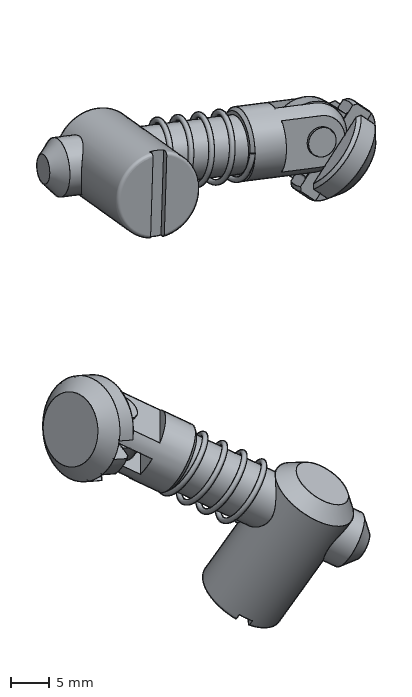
import cadquery as cq


shank_radius = 3.95
tip_y = -9.65
tip_radius = 2.0
tip_cone_length = 2.0
collar_start_y = 18.3
collar_end_y = 23.35
collar_radius = 4.95
collar_chamfer = 0.48
hinge_y = 29.05
clevis_width = 7.0
clevis_slot_width = 3.0

wire_diameter = 0.75
coil_outer_radius = 4.95
coil_offset_x = 0.2
coil_start_y = 6.5
coil_pitch = 3.0
coil_turns = 4

barrel_radius = 6.0
barrel_tilt = 3.9
barrel_back = 6.0
barrel_front = 15.0
barrel_end_radius = 4.0
barrel_fillet = 0.48
slot_width = 2.0
slot_depth = 1.0

foot_tilt = 53.3
disc_radius = 7.0
disc_base_radius = 4.95
disc_cone_height = 2.05
disc_rim_height = 3.05
disc_chamfer = 0.48
disc_below_hinge = 5.3
groove_outer_width = 7.9
tongue_width = 2.65
ridge_width = 3.0
tongue_radius = 4.9
tongue_fillet = 0.25
pin_radius = 2.0


def turned(profile_points):
    """Revolve (radius, y) points, from axis to axis, around the Y axis."""
    return cq.Workplane("XY").polyline(profile_points).close().revolve(360, (0, 0, 0), (0, 1, 0))


def cylinder_along_x(radius, length):
    """A cylinder on the X axis, centred on the origin."""
    return cq.Workplane("YZ").circle(radius).extrude(length / 2, both=True)


def make_clevis():
    """Round bar with a ball end, flattened on both sides and slotted for the tongue."""
    bar_length = hinge_y - collar_start_y - collar_chamfer
    bar = cq.Workplane("XZ", origin=(0, hinge_y, 0)).circle(collar_radius).extrude(bar_length)
    ball = cq.Workplane("XY").sphere(collar_radius).translate((0, hinge_y, 0))
    cutter_size = 4 * collar_radius
    fork_centre = (0, collar_end_y + cutter_size / 2, 0)
    fork = cq.Workplane("XY").box(clevis_width, cutter_size, cutter_size).translate(fork_centre)
    slot = cq.Workplane("XY").box(clevis_slot_width, cutter_size, cutter_size).translate(fork_centre)
    pin_hole = cylinder_along_x(pin_radius, cutter_size).translate((0, hinge_y, 0))
    return bar.union(ball).intersect(fork).cut(slot).cut(pin_hole)


def make_spring():
    """Round wire swept along the coil, which starts on the +X side."""
    coil_radius = coil_outer_radius - wire_diameter / 2
    path = cq.Wire.makeHelix(coil_pitch, coil_turns * coil_pitch, coil_radius, lefthand=True)
    wire_section = cq.Workplane("XZ", origin=(coil_radius, 0, 0)).circle(wire_diameter / 2)
    spring = wire_section.sweep(cq.Workplane(path), isFrenet=True)
    return spring.rotate((0, 0, 0), (1, 0, 0), -90).translate((coil_offset_x, coil_start_y, 0))


def make_rod():
    """Pointed shank with its collar, clevis and spring in one piece."""
    shank_and_collar = turned([
        (0, tip_y),
        (tip_radius, tip_y),
        (shank_radius, tip_y + tip_cone_length),
        (shank_radius, collar_start_y),
        (collar_radius - collar_chamfer, collar_start_y),
        (collar_radius, collar_start_y + collar_chamfer),
        (collar_radius, collar_end_y),
        (0, collar_end_y),
    ])
    return shank_and_collar.union(make_clevis()).union(make_spring())


def make_barrel():
    """Cross barrel with a conical back end and a screwdriver slot across its front end."""
    length = barrel_back + barrel_front
    barrel = cq.Workplane("YZ", origin=(-barrel_back, 0, 0)).circle(barrel_radius).extrude(length)
    barrel = barrel.faces("<X").chamfer(barrel_radius - barrel_end_radius)
    barrel = barrel.faces(">X").edges().fillet(barrel_fillet)
    slot_centre_x = barrel_front - slot_depth / 2
    slot = cq.Workplane("XY").box(slot_depth, slot_width, 2 * barrel_radius).translate((slot_centre_x, 0, 0))
    rod_hole = cq.Workplane("XZ").circle(shank_radius).extrude(2 * barrel_radius, both=True)
    return barrel.cut(slot).rotate((0, 0, 0), (0, 1, 0), barrel_tilt).cut(rod_hole)


def make_foot():
    """Built with the disc axis along Y and the hinge at the origin, then swung into place."""
    rim_start = disc_below_hinge
    rim_end = rim_start - disc_rim_height
    disc = turned([
        (0, rim_start + disc_cone_height),
        (disc_base_radius, rim_start + disc_cone_height),
        (disc_radius, rim_start),
        (disc_radius, rim_end + disc_chamfer),
        (disc_radius - disc_chamfer, rim_end),
        (0, rim_end),
    ])
    rim_centre = (0, (rim_start + rim_end) / 2, 0)
    wide_groove = cq.Workplane("XY").box(groove_outer_width, disc_rim_height, 2 * disc_radius)
    ridge = cq.Workplane("XY").box(ridge_width, disc_rim_height, 2 * disc_radius)
    disc = disc.cut(wide_groove.cut(ridge).translate(rim_centre))

    eye = cylinder_along_x(tongue_radius, tongue_width)
    neck = cq.Workplane("XY").box(tongue_width, rim_start, 2 * tongue_radius).translate((0, rim_start / 2, 0))
    pin = cylinder_along_x(pin_radius, groove_outer_width)
    foot = disc.union(neck).union(eye)
    for side in (-1, 1):
        neck_corner = cq.selectors.NearestToPointSelector((0, rim_end, side * tongue_radius))
        foot = foot.edges(neck_corner).fillet(tongue_fillet)
    foot = foot.union(pin)
    return foot.rotate((0, 0, 0), (1, 0, 0), foot_tilt - 90).translate((0, hinge_y, 0))


rod = make_rod()
barrel = make_barrel()
foot = make_foot()

result = cq.Compound.makeCompound([body.solids().val() for body in (rod, barrel, foot)])